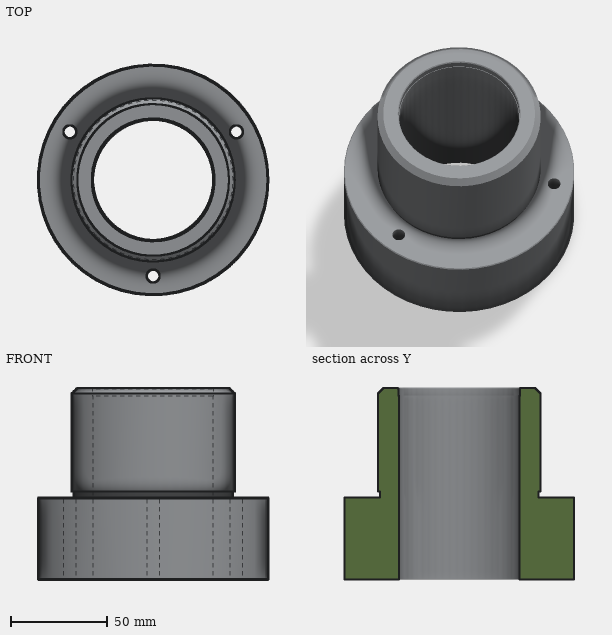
import cadquery as cq

flange_diameter = 120.0
total_height = 100.0
flange_height = 43.0
flange_edge_chamfer = 0.5

sleeve_diameter = 85.0
sleeve_chamfer = 3.0
relief_depth = 1.0
relief_height = 3.0

bore_diameter = 62.5
bore_chamfer = 0.5

counterbore_diameter = 63.0
counterbore_depth = 4.2

hole_count = 3
hole_diameter = 6.6
hole_circle_radius = 50.0
first_hole_angle = -90


def make_flange():
    flange = cq.Workplane("XY").circle(flange_diameter / 2).extrude(flange_height)
    return flange.edges().chamfer(flange_edge_chamfer)


def make_sleeve():
    """Sleeve with a shallow relief groove where it meets the flange."""
    relief = (
        cq.Workplane("XY")
        .circle(sleeve_diameter / 2 - relief_depth)
        .extrude(flange_height + relief_height)
    )
    sleeve_base = flange_height + relief_height
    sleeve = (
        cq.Workplane("XY")
        .workplane(offset=sleeve_base)
        .circle(sleeve_diameter / 2)
        .extrude(total_height - sleeve_base)
        .faces(">Z")
        .chamfer(sleeve_chamfer)
    )
    return relief.union(sleeve)


def make_bore():
    """Cutter for the through bore, stepped near the top and chamfered at both ends."""
    bore_radius = bore_diameter / 2
    counterbore_radius = counterbore_diameter / 2
    step_height = total_height - counterbore_depth
    return (
        cq.Workplane("XZ")
        .moveTo(0, 0)
        .lineTo(bore_radius + bore_chamfer, 0)
        .lineTo(bore_radius, bore_chamfer)
        .lineTo(bore_radius, step_height)
        .lineTo(counterbore_radius, step_height)
        .lineTo(counterbore_radius, total_height - bore_chamfer)
        .lineTo(counterbore_radius + bore_chamfer, total_height)
        .lineTo(0, total_height)
        .close()
        .revolve(360, (0, 0, 0), (0, 1, 0))
    )


def make_flange_holes():
    return (
        cq.Workplane("XY")
        .polarArray(hole_circle_radius, first_hole_angle, 360, hole_count)
        .circle(hole_diameter / 2)
        .extrude(flange_height)
    )


result = make_flange().union(make_sleeve()).cut(make_bore()).cut(make_flange_holes())